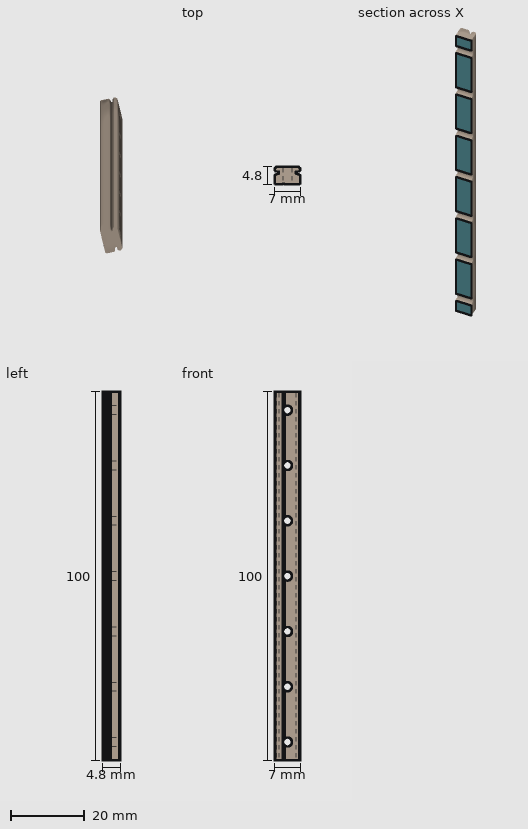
import cadquery as cq

length = 100.0
width = 7.0
height = 4.8
half_width = width / 2
top = height / 2
bottom = -height / 2

top_chamfer = 0.5
foot_chamfer = 0.3

groove_floor_x = 2.3
groove_ceiling_y = 1.05
groove_floor_end_y = 0.6
groove_lower_lip_y = 0.35

lip_inset = 0.4
upper_lip_height = 0.45
lower_lip_height = 0.3

mark_x = -1.0
mark_width = 0.7
mark_depth = 0.25

hole_count = 7
hole_pitch = 15.0
hole_diameter = 2.4


def flank_outline():
    """Points of the +X half of the cross section, from the top down."""
    lip_x = half_width - lip_inset
    return [
        (half_width - top_chamfer, top),
        (half_width, top - top_chamfer),
        (half_width, groove_ceiling_y + upper_lip_height),
        (lip_x, groove_ceiling_y),
        (groove_floor_x, groove_ceiling_y),
        (groove_floor_x, groove_floor_end_y),
        (lip_x, groove_lower_lip_y),
        (half_width, groove_lower_lip_y - lower_lip_height),
        (half_width, bottom + foot_chamfer),
        (half_width - foot_chamfer, bottom),
    ]


def mark_outline():
    """Points of the marking groove, from its +X edge to its -X edge."""
    return [
        (mark_x + mark_width / 2, bottom),
        (mark_x, bottom + mark_depth),
        (mark_x - mark_width / 2, bottom),
    ]


def make_bar():
    right_flank = flank_outline()
    left_flank = [(-x, y) for x, y in reversed(right_flank)]
    outline = right_flank + mark_outline() + left_flank
    end_plane = cq.Workplane("XY", origin=(0, 0, -length / 2))
    return end_plane.polyline(outline).close().extrude(length)


def make_mounting_holes():
    """Row of plain holes from top to bottom."""
    top_plane = cq.Workplane("XZ", origin=(0, top, 0))
    centres = top_plane.rarray(1, hole_pitch, 1, hole_count)
    return centres.circle(hole_diameter / 2).extrude(height)


result = make_bar().cut(make_mounting_holes())